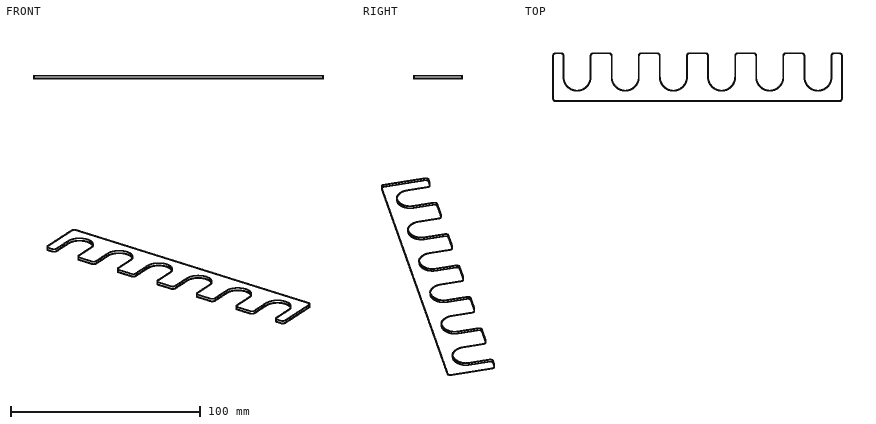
import cadquery as cq

length = 152.4
slot_count = 6
pitch = length / slot_count
width = pitch
thickness = 1.5
slot_width = 14.2
corner_radius = 1.5

slot_radius = slot_width / 2
top_y = width / 2


def slot_cutter(center_x):
    """Round-bottomed slot, centred at mid-width and open towards +Y."""
    left = center_x - slot_radius
    right = center_x + slot_radius
    return (
        cq.Workplane("XY")
        .moveTo(left, top_y)
        .lineTo(left, 0)
        .threePointArc((center_x, -slot_radius), (right, 0))
        .lineTo(right, top_y)
        .close()
        .extrude(thickness)
    )


comb = cq.Workplane("XY").box(length, width, thickness, centered=(True, True, False))

for index in range(slot_count):
    slot_x = (index + 0.5) * pitch - length / 2
    comb = comb.cut(slot_cutter(slot_x))

tip_corners = comb.faces(">Y").edges("|Z")
base_corners = comb.faces("<Y").edges("|Z")
result = comb.newObject(tip_corners.vals() + base_corners.vals()).fillet(corner_radius)